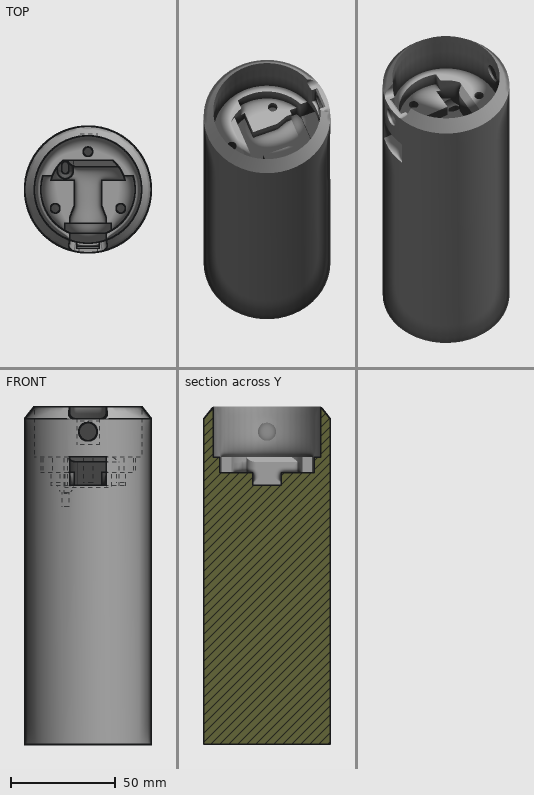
import cadquery as cq
import math

height = 161.0
body_diameter = 60.4
bevel_height = 5.8
bore_diameter = 51.2
bore_depth = 24.0
body_radius = body_diameter / 2
bore_radius = bore_diameter / 2
bore_floor = height - bore_depth

bay_radius = 22.5
bay_depth = 7.4
bay_back = 6.5
bay_floor = bore_floor - bay_depth
channel_depth = 6.0
channel_floor = bay_floor - channel_depth
channel_half_width = 6.6
channel_flare_start = -8.0
channel_flare_end = -13.5
channel_front = -16.0
rear_radius = 18.2
rear_front = 4.5
rear_back = 14.0
slope_run = 3.2
slope_drop = 2.4
slope_foot = rear_back - slope_run
rear_round_x = -5.2
rear_round_radius = 5.0

window_width = 17.6
window_inner = -20.9
pad_width = 22.3
pad_sink = 1.0

relief_x = -10.8
relief_y = 9.0
relief_radius = 3.85
cable_slot_width = 3.4
cable_slot_length = 5.8
cable_slot_y = 10.4
cable_slot_depth = 10.0

screw_diameter = 4.5
screw_circle_radius = 18.0
screw_depth = 12.0
screw_count = 3
first_screw_angle = 90.0

cross_hole_diameter = 8.8
seat_diameter = 8.6
seat_depth = 1.0
cross_hole_height = height - 12.0

notch_inner_width = 17.6
notch_outer_width = 19.8
notch_fillet = 2.9
notch_floor = height - bevel_height
notch_inner_y = -24.0
groove_width = 10.5
groove_wall_y = -27.0
groove_bevel = 0.9
groove_floor = height - 18.0

margin = 1.0


def box(x_min, x_max, y_min, y_max, z_min, z_max):
    """Block given by its limits."""
    size = (x_max - x_min, y_max - y_min, z_max - z_min)
    return cq.Workplane("XY").box(*size, centered=False).translate((x_min, y_min, z_min))


def disc(radius, z_min, z_max):
    """Upright cylinder on the body axis."""
    return cq.Workplane("XY").workplane(offset=z_min).circle(radius).extrude(z_max - z_min)


def rod_along_y(diameter, y_min, y_max, z):
    """Cylinder parallel to Y, centred on x = 0."""
    plane = cq.Plane(origin=(0, y_min, z), xDir=(1, 0, 0), normal=(0, 1, 0))
    return cq.Workplane(plane).circle(diameter / 2).extrude(y_max - y_min)


def make_body():
    profile = [
        (0, 0),
        (body_radius, 0),
        (body_radius, height - bevel_height),
        (bore_radius, height),
        (bore_radius, bore_floor),
        (0, bore_floor),
    ]
    return cq.Workplane("XZ").polyline(profile).close().revolve(360, (0, 0), (0, 1))


def bay_cutter():
    """Wide pocket: a disc cut straight along its rear side."""
    keep = box(-bay_radius, bay_radius, -bay_radius, bay_back, bay_floor, bore_floor + margin)
    return disc(bay_radius, bay_floor, bore_floor + margin).intersect(keep)


def channel_cutter():
    """Central channel that flares to the window width at its front."""
    half_window = window_width / 2
    right_side = [
        (channel_half_width, rear_front + margin),
        (channel_half_width, channel_flare_start),
        (half_window, channel_flare_end),
        (half_window, channel_front),
    ]
    left_side = [(-x, y) for x, y in reversed(right_side)]
    outline = cq.Workplane("XY").workplane(offset=channel_floor).polyline(right_side + left_side)
    return outline.close().extrude(bay_floor + margin - channel_floor)


def rear_recess_cutter():
    """Recess with round ends, a straight rear wall and a slope leading into it."""
    section = [
        (rear_front, channel_floor),
        (slope_foot, channel_floor),
        (slope_foot, bore_floor - slope_drop),
        (rear_back, bore_floor),
        (rear_back, bore_floor + margin),
        (rear_front, bore_floor + margin),
    ]
    bar = cq.Workplane("YZ").polyline(section).close().extrude(rear_radius, both=True)
    return bar.intersect(disc(rear_radius, channel_floor, bore_floor + margin))


def rear_corner_cutter():
    """Opens the left end of the rear wall behind a convex rounded corner."""
    straight_end = (rear_round_x, slope_foot)
    turn = rear_round_radius * math.sqrt(0.5)
    arc_middle = (rear_round_x - turn, slope_foot + rear_round_radius - turn)
    arc_end = (rear_round_x - rear_round_radius, slope_foot + rear_round_radius)
    opening = (
        cq.Workplane("XY")
        .workplane(offset=channel_floor)
        .moveTo(*straight_end)
        .threePointArc(arc_middle, arc_end)
        .lineTo(-rear_radius, arc_end[1])
        .lineTo(-rear_radius, slope_foot)
        .close()
        .extrude(bay_depth + channel_depth)
    )
    allowed = box(-rear_radius, 0, rear_front, rear_back, channel_floor, bore_floor)
    return opening.intersect(allowed).intersect(disc(rear_radius, channel_floor, bore_floor))


def relief_cutter():
    """Half-round groove in the recess floor with a ball-shaped front end and a cable slot."""
    plane = cq.Plane(origin=(relief_x, relief_y, channel_floor), xDir=(1, 0, 0), normal=(0, 1, 0))
    groove = cq.Workplane(plane).circle(relief_radius).extrude(rear_back - relief_y)
    ball = cq.Workplane("XY").sphere(relief_radius).translate((relief_x, relief_y, channel_floor))
    allowed = disc(rear_radius, channel_floor - relief_radius, channel_floor)
    slot = (
        cq.Workplane("XY")
        .workplane(offset=channel_floor - cable_slot_depth)
        .center(relief_x, cable_slot_y)
        .slot2D(cable_slot_length, cable_slot_width, 90)
        .extrude(cable_slot_depth)
    )
    return groove.union(ball).intersect(allowed).union(slot)


def window_cutter():
    half = window_width / 2
    return box(-half, half, -body_radius - margin, window_inner, channel_floor, bore_floor)


def pad_cutter():
    """Sunken rectangle between the channel and the window, kept inside the bay."""
    half = pad_width / 2
    floor = channel_floor - pad_sink
    block = box(-half, half, window_inner, channel_front, floor, bore_floor)
    ends = disc(bay_radius, floor, bore_floor)
    middle = box(-window_width / 2, window_width / 2, window_inner, channel_front, floor, bore_floor)
    return block.intersect(ends).union(middle)


def screw_cutters():
    cutters = cq.Workplane("XY")
    for index in range(screw_count):
        angle = math.radians(first_screw_angle + index * 360 / screw_count)
        x = screw_circle_radius * math.cos(angle)
        y = screw_circle_radius * math.sin(angle)
        hole = disc(screw_diameter / 2, bore_floor - screw_depth, bore_floor)
        cutters = cutters.add(hole.translate((x, y, 0)))
    return cutters.combine()


def notch_cutter():
    """Notch in the rim, widening outwards, with rounded lower corners."""
    inner = notch_inner_width / 2
    outer = notch_outer_width / 2
    outer_y = -body_radius - margin
    outline = [(-inner, notch_inner_y), (inner, notch_inner_y), (outer, outer_y), (-outer, outer_y)]
    notch = (
        cq.Workplane("XY")
        .workplane(offset=notch_floor)
        .polyline(outline)
        .close()
        .extrude(bevel_height + margin)
    )
    lower_sides = notch.faces("<Z").edges("not |X")
    return lower_sides.fillet(notch_fillet)


def groove_cutter():
    """Groove in the front bore wall below the notch, with a bevelled upper edge."""
    section = [
        (notch_inner_y, groove_floor),
        (groove_wall_y, groove_floor),
        (groove_wall_y, notch_floor - groove_bevel),
        (groove_wall_y - groove_bevel, notch_floor),
        (notch_inner_y, notch_floor),
    ]
    return cq.Workplane("YZ").polyline(section).close().extrude(groove_width / 2, both=True)


def cross_hole_cutter():
    front = rod_along_y(cross_hole_diameter, -body_radius - margin, 0, cross_hole_height)
    seat = rod_along_y(seat_diameter, 0, bore_radius + seat_depth, cross_hole_height)
    return front.union(seat)


result = make_body()
for cutter in (
    bay_cutter(),
    channel_cutter(),
    rear_recess_cutter(),
    rear_corner_cutter(),
    relief_cutter(),
    window_cutter(),
    pad_cutter(),
    screw_cutters(),
    notch_cutter(),
    groove_cutter(),
    cross_hole_cutter(),
):
    result = result.cut(cutter)